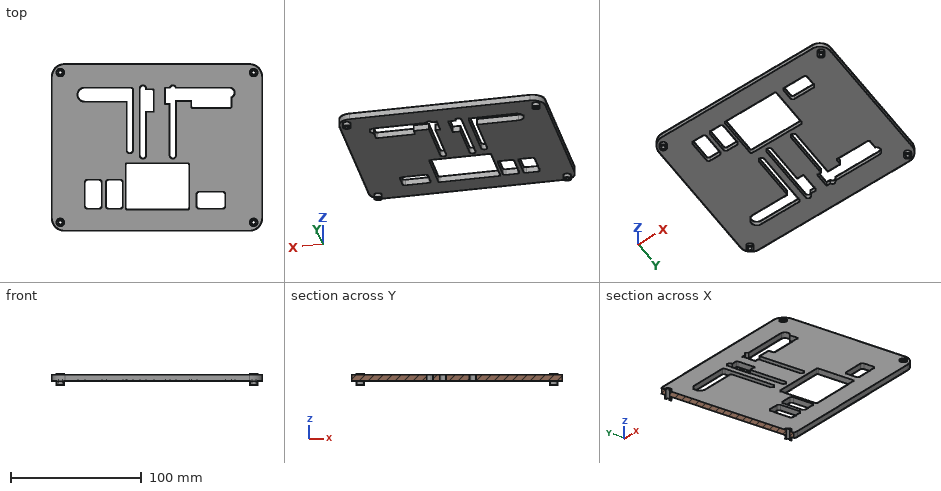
import cadquery as cq

PLATE_LENGTH = 160.8
PLATE_WIDTH = 127.5
PLATE_THICKNESS = 5.0
CORNER_RADIUS = 10.0

PIN_DIAMETER = 6.0
PIN_BORE = 3.0
PIN_INSET = 6.6
PIN_ABOVE = 0.5
PIN_BELOW = 3.0

SLOT_WIDTH = 4.7
LEFT_SLOT_X = -20.7
MIDDLE_SLOT_X = -10.8
RIGHT_SLOT_X = 12.0
LEFT_SLOT_BOTTOM = -4.3
LONG_SLOT_BOTTOM = -8.4
LONG_SLOT_TOP = 47.3
SMALL_RADIUS = 1.0

ARM_TOP = 45.5
LEFT_ARM_END = -60.6
LEFT_ARM_WIDTH = 10.5
LEFT_ARM_CORNER_RADIUS = 1.5
RIGHT_ARM_START = 6.1
RIGHT_ARM_END = 56.8
RIGHT_ARM_BOTTOM = 35.5
NOTCH_BOTTOM = 33.3
STEP_START = 26.2
STEP_BOTTOM = 30.2
END_LOBE_RADIUS = 3.7
END_LOBE_TIP = 59.2

SIDE_POCKET_RIGHT = -2.5
SIDE_POCKET_TOP = 44.4
SIDE_POCKET_BOTTOM = 27.3

SCREEN_LENGTH = 48.2
SCREEN_HEIGHT = 35.2
SCREEN_LEFT = -23.8
SCREEN_BOTTOM = -47.3
WINDOW_LONG = 21.9
WINDOW_SHORT = 12.7
WINDOW_RADIUS = 2.0
WINDOW_BOTTOM = -46.6
UPRIGHT_WINDOW_LEFTS = (-55.0, -38.9)
FLAT_WINDOW_LEFT = 30.2


def box_cutter(left, bottom, right, top):
    """Block through the plate thickness between two opposite corners."""
    length = right - left
    height = top - bottom
    return cq.Workplane("XY").box(length, height, PLATE_THICKNESS, centered=False).translate((left, bottom, 0))


def window_cutter(left, bottom, length, height, radius):
    block = box_cutter(left, bottom, left + length, bottom + height)
    return block.edges("|Z").fillet(radius)


def slot_cutter(x, bottom, top):
    """Round-ended slot along Y."""
    slot = cq.Workplane("XY").center(x, (bottom + top) / 2).slot2D(top - bottom, SLOT_WIDTH, 90)
    return slot.extrude(PLATE_THICKNESS)


def disc_cutter(x, y, radius):
    return cq.Workplane("XY").center(x, y).circle(radius).extrude(PLATE_THICKNESS)


def left_cutout():
    """L shape: an arm with a round outer end and a slot hanging from its inner end."""
    end_radius = LEFT_ARM_WIDTH / 2
    end_x = LEFT_ARM_END + end_radius
    arm_bottom = ARM_TOP - LEFT_ARM_WIDTH
    arm_right = LEFT_SLOT_X + SLOT_WIDTH / 2
    arm = box_cutter(end_x, arm_bottom, arm_right, ARM_TOP)
    arm = arm.edges("|Z and >X and >Y").fillet(LEFT_ARM_CORNER_RADIUS)
    round_end = disc_cutter(end_x, ARM_TOP - end_radius, end_radius)
    slot = slot_cutter(LEFT_SLOT_X, LEFT_SLOT_BOTTOM, ARM_TOP - LEFT_ARM_CORNER_RADIUS)
    return arm.union(round_end).union(slot)


def middle_cutout():
    """Long slot with a pocket along the upper part of its right side."""
    slot = slot_cutter(MIDDLE_SLOT_X, LONG_SLOT_BOTTOM, LONG_SLOT_TOP)
    pocket = box_cutter(MIDDLE_SLOT_X, SIDE_POCKET_BOTTOM, SIDE_POCKET_RIGHT, SIDE_POCKET_TOP)
    return slot.union(pocket.edges("|Z and >X and >Y").fillet(SMALL_RADIUS))


def right_cutout():
    """Long slot crossed by a stepped arm with a round lobe at its outer top corner."""
    slot = slot_cutter(RIGHT_SLOT_X, LONG_SLOT_BOTTOM, LONG_SLOT_TOP)
    notch = box_cutter(RIGHT_ARM_START, NOTCH_BOTTOM, RIGHT_SLOT_X, ARM_TOP)
    lobe_x = END_LOBE_TIP - END_LOBE_RADIUS
    arm = box_cutter(RIGHT_SLOT_X, RIGHT_ARM_BOTTOM, lobe_x, ARM_TOP)
    lobe_y = ARM_TOP - END_LOBE_RADIUS
    step = box_cutter(STEP_START, STEP_BOTTOM, RIGHT_ARM_END, lobe_y)
    step = step.edges("|Z and <Y").fillet(SMALL_RADIUS)
    lobe = disc_cutter(lobe_x, lobe_y, END_LOBE_RADIUS)
    return slot.union(notch).union(arm).union(step).union(lobe)


def windows():
    cutters = window_cutter(SCREEN_LEFT, SCREEN_BOTTOM, SCREEN_LENGTH, SCREEN_HEIGHT, SMALL_RADIUS)
    for left in UPRIGHT_WINDOW_LEFTS:
        cutters = cutters.union(window_cutter(left, WINDOW_BOTTOM, WINDOW_SHORT, WINDOW_LONG, WINDOW_RADIUS))
    flat = window_cutter(FLAT_WINDOW_LEFT, WINDOW_BOTTOM, WINDOW_LONG, WINDOW_SHORT, WINDOW_RADIUS)
    return cutters.union(flat)


def corner_cylinders(diameter):
    """Four cylinders at the corners, spanning the full pin height."""
    spacing_x = PLATE_LENGTH - 2 * PIN_INSET
    spacing_y = PLATE_WIDTH - 2 * PIN_INSET
    base = cq.Workplane("XY").workplane(offset=-PIN_BELOW).rarray(spacing_x, spacing_y, 2, 2)
    return base.circle(diameter / 2).extrude(PIN_BELOW + PLATE_THICKNESS + PIN_ABOVE)


plate = cq.Workplane("XY").box(PLATE_LENGTH, PLATE_WIDTH, PLATE_THICKNESS, centered=(True, True, False))
plate = plate.edges("|Z").fillet(CORNER_RADIUS)
for cutout in (left_cutout(), middle_cutout(), right_cutout(), windows()):
    plate = plate.cut(cutout)

result = plate.union(corner_cylinders(PIN_DIAMETER)).cut(corner_cylinders(PIN_BORE))